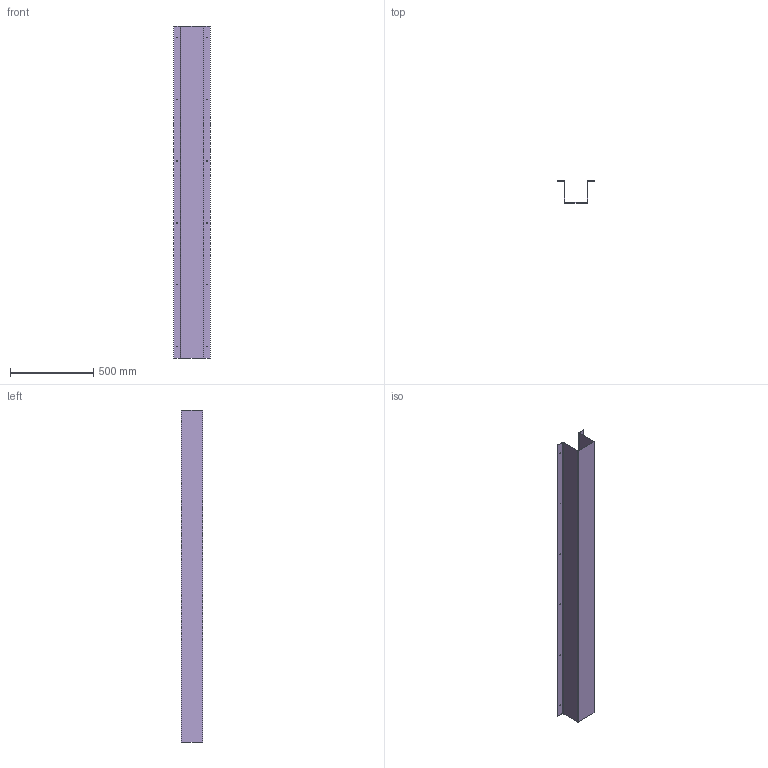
import cadquery as cq

overall_width = 220.0
overall_depth = 131.5
length = 2000.0
sheet = 1.5
channel_width = 140.0
inner_bend_radius = 1.5

hole_diameter = 4.5
holes_per_flange = 6
hole_end_margin = 70.0

half_width = overall_width / 2
half_channel = channel_width / 2
inner_half_channel = half_channel - sheet
flange_front = overall_depth - sheet
flange_centre = (half_width + half_channel) / 2
outer_bend_radius = inner_bend_radius + sheet
hole_pitch = (length - 2 * hole_end_margin) / (holes_per_flange - 1)


def hat_channel():
    """Sharp-cornered hat section, web at -Y and flanges at +Y, extruded along Z."""
    outline = [
        (-half_channel, 0),
        (half_channel, 0),
        (half_channel, flange_front),
        (half_width, flange_front),
        (half_width, overall_depth),
        (inner_half_channel, overall_depth),
        (inner_half_channel, sheet),
        (-inner_half_channel, sheet),
        (-inner_half_channel, overall_depth),
        (-half_width, overall_depth),
        (-half_width, flange_front),
        (-half_channel, flange_front),
    ]
    return cq.Workplane("XY").polyline(outline).close().extrude(length)


def round_bends(channel, corners, radius):
    """Round the lengthwise edges at the given section corners on both sides of the channel."""
    for x, y in corners:
        for side in (-1, 1):
            edge_middle = (side * x, y, length / 2)
            channel = channel.edges(cq.NearestToPointSelector(edge_middle)).fillet(radius)
    return channel


def flange_holes():
    """Cutters for the evenly spaced holes, centred on the length of both flanges."""
    centres = []
    for side in (-1, 1):
        for index in range(holes_per_flange):
            centres.append((side * flange_centre, hole_end_margin + index * hole_pitch))
    cutters = cq.Workplane("XZ").pushPoints(centres).circle(hole_diameter / 2)
    return cutters.extrude(-2 * overall_depth)


outside_corners = [(half_channel, 0), (inner_half_channel, overall_depth)]
inside_corners = [(inner_half_channel, sheet), (half_channel, flange_front)]

channel = hat_channel()
channel = round_bends(channel, outside_corners, outer_bend_radius)
channel = round_bends(channel, inside_corners, inner_bend_radius)
result = channel.cut(flange_holes())